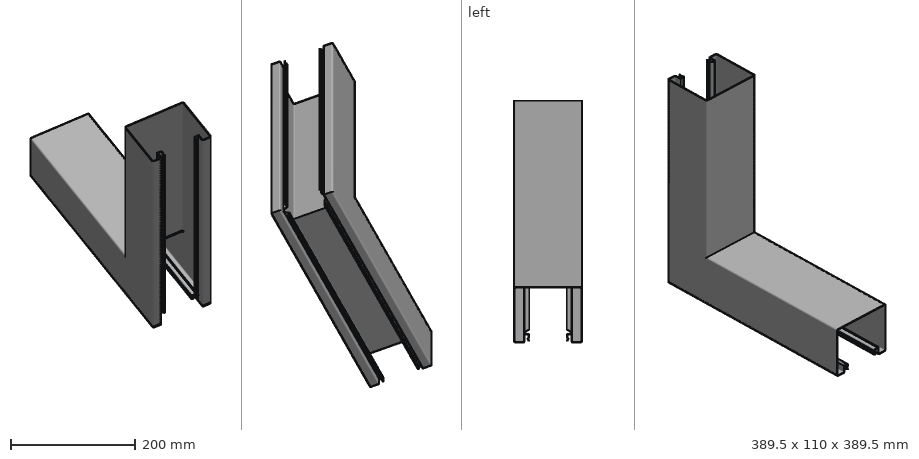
import cadquery as cq

leg_length = 389.5
channel_width = 110.0
channel_depth = 90.0

sheet = 1.5
bend_radius = 3.0
lip_bend_radius = 2.5

flange_width = 17.0
return_depth = 14.0
hook_reach = 7.8
hook_drop = 11.0
bead_start = 4.5
bead_offset = 1.5

root_clearance = 16.0
tip_clearance = 21.5

wall_y = -channel_width / 2 + flange_width
flange_end_y = wall_y - 2 * lip_bend_radius
tip_y = wall_y + hook_reach


def rounded_bar(width, depth, radius):
    """Full-length bar with a rounded rectangular section, centred on the channel."""
    bar = cq.Workplane("YZ").center(0, channel_depth / 2).rect(width, depth).extrude(leg_length)
    return bar.edges("|X").fillet(radius)


def channel():
    """Folded channel along X, open towards -Z between its two flanges."""
    outside = rounded_bar(channel_width, channel_depth, bend_radius)
    inside = rounded_bar(channel_width - 2 * sheet, channel_depth - 2 * sheet, bend_radius - sheet)
    opening_width = -2 * flange_end_y
    opening = cq.Workplane("XY").box(
        leg_length, opening_width, 2 * sheet, centered=(False, True, False)
    )
    return outside.cut(inside).cut(opening)


def round_corner(strip, y, z, radius):
    """Round the lengthwise edge of a strip that runs through (y, z)."""
    reach = sheet / 4
    around = cq.selectors.BoxSelector(
        (0, y - reach, z - reach), (leg_length, y + reach, z + reach)
    )
    return strip.edges("|X").edges(around).fillet(radius)


def lip():
    """Return wall and beaded hook continuing the -Y flange."""
    hook_end_z = return_depth - hook_drop
    bead_z = return_depth - bead_start
    bead_peak_z = (bead_z + hook_end_z) / 2
    outline = [
        (flange_end_y, 0),
        (wall_y, 0),
        (wall_y, return_depth - sheet),
        (tip_y - sheet, return_depth - sheet),
        (tip_y - sheet, bead_z),
        (tip_y - sheet - bead_offset, bead_peak_z),
        (tip_y - sheet, hook_end_z),
        (tip_y, hook_end_z),
        (tip_y - bead_offset, bead_peak_z),
        (tip_y, bead_z),
        (tip_y, return_depth),
        (wall_y - sheet, return_depth),
        (wall_y - sheet, sheet),
        (flange_end_y, sheet),
    ]
    strip = cq.Workplane("YZ").polyline(outline).close().extrude(leg_length)

    outer_corners = [(wall_y, 0), (tip_y, return_depth)]
    inner_corners = [(wall_y - sheet, sheet), (tip_y - sheet, return_depth - sheet)]
    for y, z in outer_corners:
        strip = round_corner(strip, y, z, lip_bend_radius)
    for y, z in inner_corners:
        strip = round_corner(strip, y, z, lip_bend_radius - sheet)
    return strip.cut(lip_gap())


def lip_gap():
    """Space at the corner where the hook is cut away along a slanted end."""
    outline = [
        (leg_length, wall_y),
        (leg_length - root_clearance, wall_y),
        (leg_length - tip_clearance, tip_y),
        (leg_length, tip_y),
    ]
    return cq.Workplane("XY").polyline(outline).close().extrude(return_depth)


def mitred_leg():
    """Horizontal leg trimmed to the 45 degree plane through the outer corner."""
    near_lip = lip()
    leg = channel().union(near_lip).union(near_lip.mirror("XZ"))
    beyond_mitre = (
        cq.Workplane("XZ")
        .polyline([(leg_length, 0), (leg_length, leg_length), (0, leg_length)])
        .close()
        .extrude(channel_width, both=True)
    )
    return leg.cut(beyond_mitre)


horizontal_leg = mitred_leg()
vertical_leg = horizontal_leg.rotate((leg_length, 0, 0), (0, 0, leg_length), 180)
result = horizontal_leg.union(vertical_leg)